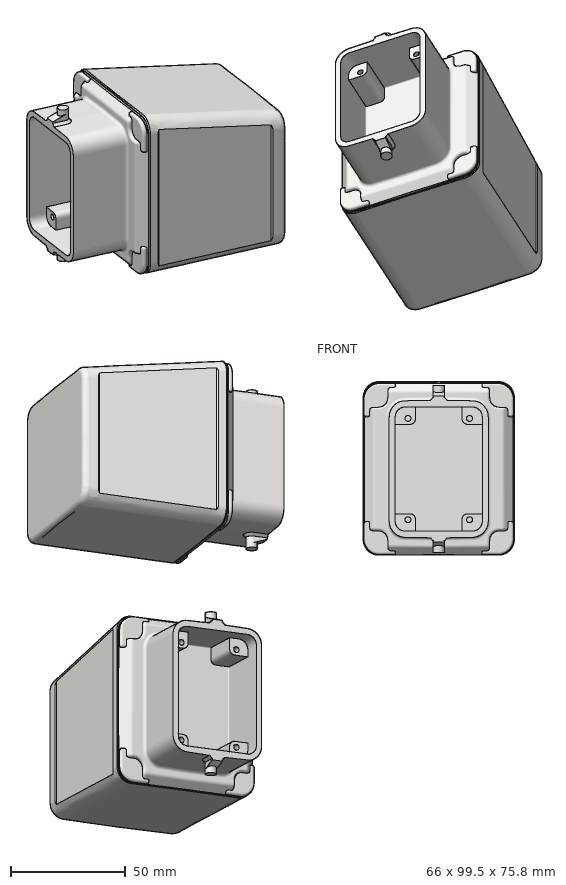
import cadquery as cq


length = 99.5
housing_width = 66.0
housing_half_width = housing_width / 2
housing_front_y = 31.4
housing_bottom = -37.5
housing_top_front = 38.2
housing_top_back = 26.1
ridge = 0.3
ridge_trim = 0.06
corner_radius = 7.0
back_radius = 2.5
front_chamfer = 0.6

panel_depth = 0.4
panel_run_out = 0.8
panel_front_y = 35.7
panel_back_y = 92.6

flange_inset = 0.3
flange_half_width = housing_half_width - flange_inset
flange_half_height = 37.4
flange_front_y = 26.9
flange_thickness = housing_front_y - flange_front_y
flange_chamfer = 4.4
flange_front_radius = 2.0
flange_land = 0.7
flange_corner_radius = corner_radius - flange_inset
pocket_edge_radius = 1.2

cap_front_y = 28.7
cap_thickness = 2.4
cap_edge_radius = 1.1
cap_size = 10.4
cap_inner_radius = 4.2
cap_tab_width = 2.6
cap_tab_top_reach = 13.9
cap_tab_side_reach = 14.6
cap_tab_end_radius = 0.9

shell_half_width = 21.6
shell_half_height = 29.6
shell_ridge = 0.4
shell_radius = 7.0
shell_wall = 2.6
shell_root_radius = 1.4
cavity_depth = 26.7
cavity_floor_radius = 0.5

post_front_y = 8.4
post_inner_x = 10.1
post_inner_z = 19.5
post_radius = 2.5
screw_x = 13.4
screw_z = 22.1
screw_diameter = 2.6
screw_depth = 9.9

pin_diameter = 5.0
pin_y = 6.4
pin_tip_z = 36.4
pad_top_z = 31.2
pad_flare = 1.4
pad_half_width = pin_diameter / 2 + pad_flare
pin_root_z = shell_half_height - shell_wall / 2
wedge_front_z = 31.8
wedge_back_z = 34.2

selection_margin = 0.1


def at_y(y):
    """Workplane facing the open end, placed at the given depth."""
    return cq.Workplane("XZ", origin=(0, y, 0))


def ridged_outline(plane, half_width, bottom, top, rise):
    """Rectangle whose top and bottom sides peak by `rise` at x = 0."""
    return plane.polyline([
        (-half_width, bottom), (0, bottom - rise), (half_width, bottom),
        (half_width, top), (0, top + rise), (-half_width, top),
    ]).close()


def ridged_block(half_width, half_height, rise, radius, back_y, depth):
    """Block with a ridged outline and rounded corners, running forward from back_y."""
    outline = ridged_outline(at_y(back_y), half_width, -half_height, half_height, rise)
    return outline.extrude(depth).edges("|Y").edges(">X or <X").fillet(radius)


def corner_box(x_from, x_to, z_from, z_to, y_from, y_to):
    """Box between the given limits."""
    size = (x_to - x_from, y_to - y_from, z_to - z_from)
    return cq.Workplane("XY").box(*size, centered=False).translate((x_from, y_from, z_from))


def in_four_corners(solid):
    """The solid from the +X +Z corner together with its three mirror images."""
    pair = solid.union(solid.mirror("YZ"))
    return pair.union(pair.mirror("XY"))


def make_housing():
    """Rounded box with a sloping top; the ridge shows only in its rounded back and front edges."""
    front = ridged_outline(
        at_y(housing_front_y), housing_half_width, housing_bottom, housing_top_front, ridge)
    front_and_back = ridged_outline(
        front.workplane(offset=housing_front_y - length),
        housing_half_width, housing_bottom, housing_top_back, ridge)
    housing = front_and_back.loft(ruled=True)
    housing = housing.edges("<X or >X").edges("not |Z").fillet(corner_radius)
    housing = housing.faces(">Y").edges().fillet(back_radius)
    housing = housing.faces("<Y").edges().chamfer(front_chamfer)
    flat_bottom = housing_bottom - ridge_trim
    flat_side = [
        (housing_front_y, flat_bottom), (housing_front_y, housing_top_front + ridge_trim),
        (length, housing_top_back + ridge_trim), (length, flat_bottom),
    ]
    flat = cq.Workplane("YZ").polyline(flat_side).close().extrude(length, both=True)
    return housing.intersect(flat)


def make_side_panel():
    """Cutter for the shallow panel in the +X side wall, with sloping front and back ends."""
    floor_x = housing_half_width - panel_depth
    outline = [
        (housing_half_width, panel_front_y), (floor_x, panel_front_y + panel_run_out),
        (floor_x, panel_back_y - panel_run_out), (housing_half_width, panel_back_y),
    ]
    return cq.Workplane("XY").polyline(outline).close().extrude(length, both=True)


def cap_square(y_front, y_back):
    """Square over the +X +Z flange corner with its inner corner rounded."""
    square = corner_box(
        flange_half_width - cap_size, flange_half_width,
        flange_half_height - cap_size, flange_half_height, y_front, y_back)
    return square.edges("|Y and <X and <Z").fillet(cap_inner_radius)


def make_flange():
    """Plate with bevelled sides, a pocket at each corner cap and a soft front edge."""
    flange = ridged_block(
        flange_half_width, flange_half_height + flange_land, ridge, flange_corner_radius,
        housing_front_y, flange_thickness)
    flange = flange.faces("<Y").edges().chamfer(flange_chamfer)
    flange = flange.faces("<Y").edges().fillet(flange_front_radius)
    flange = flange.intersect(ridged_block(
        flange_half_width, flange_half_height, 0, flange_corner_radius,
        housing_front_y, flange_thickness))
    flange = flange.cut(in_four_corners(cap_square(flange_front_y, cap_front_y)))
    pocket_x = flange_half_width - cap_size - selection_margin
    pocket_z = flange_half_height - cap_size - selection_margin
    for side_x in (-1, 1):
        for side_z in (-1, 1):
            pocket_zone = cq.selectors.BoxSelector(
                (side_x * pocket_x, flange_front_y - selection_margin, side_z * pocket_z),
                (side_x * flange_half_width, flange_front_y + selection_margin,
                 side_z * flange_half_height))
            flange = flange.edges(pocket_zone).fillet(pocket_edge_radius)
    return flange


def make_cap():
    """Corner cap: a square with two tabs along the flange sides and a rounded rim."""
    cap_back_y = cap_front_y + cap_thickness
    plate = ridged_block(
        flange_half_width, flange_half_height, 0, flange_corner_radius, cap_back_y, cap_thickness)
    plate = plate.faces("<Y or >Y").edges().fillet(cap_edge_radius)

    top_tab = corner_box(
        flange_half_width - cap_tab_top_reach, flange_half_width,
        flange_half_height - cap_tab_width, flange_half_height, cap_front_y, cap_back_y)
    side_tab = corner_box(
        flange_half_width - cap_tab_width, flange_half_width,
        flange_half_height - cap_tab_side_reach, flange_half_height, cap_front_y, cap_back_y)
    cap = plate.intersect(cap_square(cap_front_y, cap_back_y).union(top_tab).union(side_tab))
    for tab_end in ("<X", "<Z"):
        cap = cap.faces(tab_end).edges().fillet(cap_tab_end_radius)
    return cap


def make_shell():
    """Solid connector body, running from the flange to the open end."""
    return ridged_block(
        shell_half_width, shell_half_height, shell_ridge, shell_radius, flange_front_y, flange_front_y)


def make_cavity():
    """Rectangular cavity with rounded corners and a soft edge around its floor."""
    cavity = ridged_block(
        shell_half_width - shell_wall, shell_half_height - shell_wall, 0,
        shell_radius - shell_wall, cavity_depth, cavity_depth)
    return cavity.faces(">Y").edges().fillet(cavity_floor_radius)


def make_post():
    """Post filling the +X +Z corner of the cavity."""
    post = corner_box(
        post_inner_x, shell_half_width, post_inner_z, shell_half_height, post_front_y, cavity_depth)
    return post.edges("|Y and <X and <Z").fillet(post_radius)


def make_screw_hole():
    """Blind hole in the +X +Z post."""
    hole = at_y(post_front_y + screw_depth).center(screw_x, screw_z)
    return hole.circle(screw_diameter / 2).extrude(screw_depth)


def make_keying_pin():
    """Round pin on a flared pad, braced by a wedge towards the open end."""
    pad_plane = cq.Workplane("XY", origin=(0, 0, pin_root_z))
    pad = (
        pad_plane.moveTo(-pad_half_width, 0).lineTo(-pad_half_width, pin_y)
        .threePointArc((0, pin_y + pad_half_width), (pad_half_width, pin_y))
        .lineTo(pad_half_width, 0).close().extrude(pad_top_z - pin_root_z))
    pad = pad.faces(">Z").edges("not <Y").chamfer(pad_flare)

    wedge_side = [(0, pin_root_z), (0, wedge_front_z), (pin_y, wedge_back_z), (pin_y, pin_root_z)]
    wedge = cq.Workplane("YZ").polyline(wedge_side).close().extrude(pin_diameter / 2, both=True)
    pin = pad_plane.center(0, pin_y).circle(pin_diameter / 2).extrude(pin_tip_z - pin_root_z)
    return pad.union(wedge).union(pin)


def round_shell_root(body):
    """Fillet where the connector shell leaves the flange."""
    reach_x = shell_half_width + selection_margin
    reach_z = shell_half_height + shell_ridge + selection_margin
    root = cq.selectors.BoxSelector(
        (-reach_x, flange_front_y - selection_margin, -reach_z),
        (reach_x, flange_front_y + selection_margin, reach_z))
    return body.edges(root).fillet(shell_root_radius)


panel = make_side_panel()
result = make_housing().cut(panel).cut(panel.mirror("YZ"))
result = result.union(make_flange()).union(in_four_corners(make_cap()))
result = round_shell_root(result.union(make_shell()))

result = result.cut(make_cavity().cut(in_four_corners(make_post())))
result = result.cut(in_four_corners(make_screw_hole()))

keying_pin = make_keying_pin()
result = result.union(keying_pin).union(keying_pin.mirror("XY"))